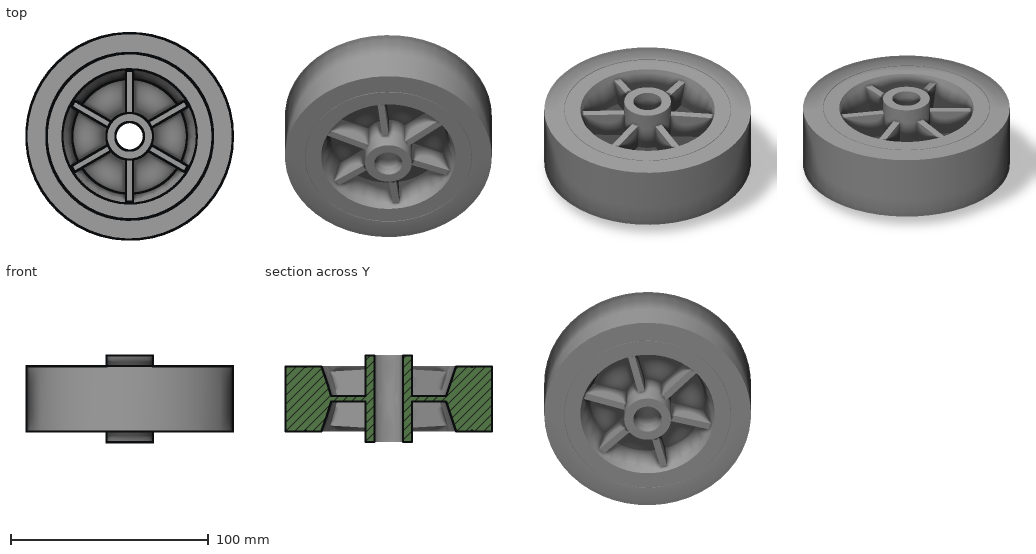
import cadquery as cq

wheel_diameter = 104.5
wheel_width = 33.0
seam_outer_diameter = 84.4
seam_width = 0.3
seam_depth = 0.3

hub_diameter = 23.6
hub_length = 44.0
bore_diameter = 14.3

pocket_mouth_diameter = 67.9
pocket_floor_diameter = 57.9
web_thickness = 3.0
pocket_depth = (wheel_width - web_thickness) / 2

spoke_count = 6
spoke_thickness = 3.5
spoke_recess_at_hub = 1.8
spoke_recess_at_rim = 2.9


def centered_cylinder(diameter, length):
    return cq.Workplane("XY").workplane(offset=-length / 2).circle(diameter / 2).extrude(length)


def face_pocket():
    """Conical pocket opening at the upper wheel face."""
    return (
        cq.Workplane("XY")
        .workplane(offset=web_thickness / 2)
        .circle(pocket_floor_diameter / 2)
        .workplane(offset=pocket_depth)
        .circle(pocket_mouth_diameter / 2)
        .loft()
    )


def face_seam():
    """Fine circular groove between rim and tread on the upper wheel face."""
    return (
        cq.Workplane("XY")
        .workplane(offset=wheel_width / 2 - seam_depth)
        .circle(seam_outer_diameter / 2)
        .circle(seam_outer_diameter / 2 - seam_width)
        .extrude(seam_depth)
    )


def spokes():
    """Radial ribs that narrow slightly from the hub to the tapered rim wall."""
    hub_radius = hub_diameter / 2
    rim_radius = pocket_mouth_diameter / 2
    hub_half_width = wheel_width / 2 - spoke_recess_at_hub
    rim_half_width = wheel_width / 2 - spoke_recess_at_rim
    profile = [
        (hub_radius, -hub_half_width),
        (rim_radius, -rim_half_width),
        (rim_radius, rim_half_width),
        (hub_radius, hub_half_width),
        (bore_diameter / 2, hub_half_width),
        (bore_diameter / 2, -hub_half_width),
    ]
    rib = (
        cq.Workplane("XZ")
        .workplane(offset=-spoke_thickness / 2)
        .polyline(profile)
        .close()
        .extrude(spoke_thickness)
    )
    ribs = cq.Workplane("XY")
    for index in range(spoke_count):
        angle = 90 + index * 360 / spoke_count
        ribs = ribs.add(rib.rotate((0, 0, 0), (0, 0, 1), angle))
    return ribs.combine()


wheel = centered_cylinder(wheel_diameter, wheel_width)
for cutter in (face_pocket(), face_seam()):
    wheel = wheel.cut(cutter).cut(cutter.mirror("XY"))

wheel = wheel.union(spokes()).union(centered_cylinder(hub_diameter, hub_length))
result = wheel.cut(centered_cylinder(bore_diameter, hub_length))